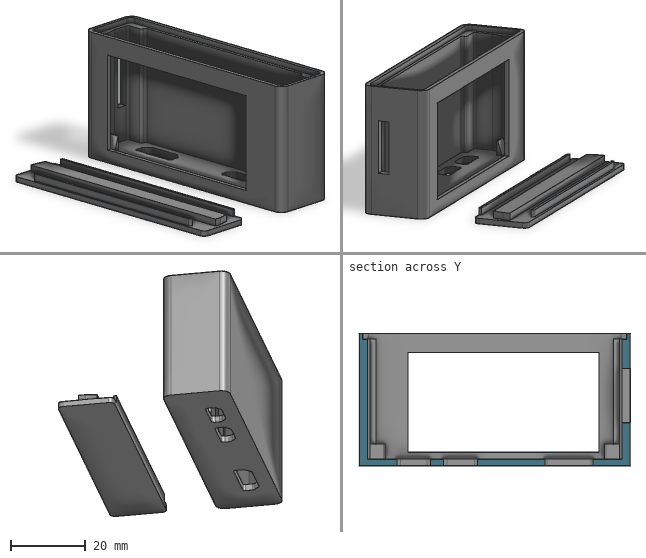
import cadquery as cq

LENGTH = 72.5
DEPTH = 18.1
HEIGHT = 35.4
CORNER_RADIUS = 2.5
OVERALL_DEPTH = 46.9

SIDE_RIM = 1.0
LONG_RIM = 1.2
RECESS_RADIUS = CORNER_RADIUS - SIDE_RIM
LID_THICKNESS = 1.5

FLOOR = 1.8
BACK_WALL = 2.2
SIDE_WALL = 2.25
BOSS_DEPTH = 1.5
BOSS_X = 29.0
BOSS_RADIUS = 0.7
CAVITY_CORNER_RADIUS = 0.8
TAPER_DEPTH = 3.0
TAPER_END = 6.15
TAPER_INSET = 0.7
NOTCH_DEPTH = 1.45
NOTCH_X = 31.75

GUIDE_REACH = 3.9
GUIDE_BACK = 6.15
GUIDE_FLAT = 0.4
GUIDE_THICKNESS = 1.75
GUIDE_HEIGHT = 4.0
GUIDE_RADIUS = 0.35

WINDOW_LEFT = -27.8
WINDOW_RIGHT = 23.1
WINDOW_BOTTOM = 3.6
WINDOW_TOP = 30.2
SLOT_BACK = 4.5
SLOT_WIDTH = 3.0
SLOT_BOTTOM = 11.5
SLOT_TOP = 25.95
PORT_BACK = 4.3
PORTS = [
    (-19.85, 12.9, 4.7, 1.75, 1.1, 0.6),
    (9.1, 9.2, 4.2, 1.6, 1.45, 0.95),
    (21.7, 9.0, 4.2, 1.6, 1.45, 0.95),
]

CLEARANCE = 0.15
LID_LENGTH = LENGTH - 2 * (SIDE_RIM + CLEARANCE)
LID_DEPTH = DEPTH - 2 * (LONG_RIM + CLEARANCE)
RAIL_HEIGHT = 1.95
TONGUE_LENGTH = 63.35
TONGUE_THICKNESS = 0.7
BLOCK_LENGTH = 67.9
BLOCK_DEPTH = 4.9
BLOCK_TAPER_INSET = 0.65
BLOCK_BACK = 4.9
RIB_LENGTH = 57.85
RIB_SHIFT = 0.35
RIB_BACK = 13.85
RIB_THICKNESS = 0.8
RIB_RADIUS = 0.7

BACK_Y = DEPTH / 2
FRONT_Y = -DEPTH / 2
LEDGE_Z = HEIGHT - LID_THICKNESS
INNER_X = LENGTH / 2 - SIDE_WALL
LID_FRONT_Y = BACK_Y - OVERALL_DEPTH
LID_BACK_Y = LID_FRONT_Y + LID_DEPTH


def box(x0, x1, y0, y1, z0, z1):
    """Box between two opposite corners."""
    return cq.Workplane("XY").box(x1 - x0, y1 - y0, z1 - z0, centered=False).translate((x0, y0, z0))


def both_ends(half_outline):
    """Points of an outline and of its mirror image across X = 0."""
    return half_outline + [(-x, y) for x, y in reversed(half_outline)]


def edges_at(solid, points, z):
    """Upright edges of a solid that pass through the given points at height z."""
    reach = 0.01
    picked = solid.newObject([])
    for x, y in points:
        corner = cq.selectors.BoxSelector((x - reach, y - reach, z - reach), (x + reach, y + reach, z + reach))
        picked = picked.add(solid.edges("|Z").edges(corner))
    return picked


def cavity():
    """Inner space from the floor up to the lid ledge."""
    back = BACK_Y - BACK_WALL
    boss_front = back - BOSS_DEPTH
    front = FRONT_Y + LONG_RIM
    notch_back = front + NOTCH_DEPTH
    taper_front = FRONT_Y + TAPER_END
    narrow_x = INNER_X - TAPER_INSET
    outline = both_ends([
        (BOSS_X, back),
        (BOSS_X, boss_front),
        (INNER_X, boss_front),
        (INNER_X, taper_front + TAPER_DEPTH),
        (narrow_x, taper_front),
        (narrow_x, notch_back),
        (NOTCH_X, notch_back),
        (NOTCH_X, front),
    ])
    depth = LEDGE_Z - FLOOR
    space = cq.Workplane("XY").workplane(offset=FLOOR).polyline(outline).close().extrude(depth)
    middle_z = FLOOR + depth / 2
    for radius, corners in (
        (BOSS_RADIUS, [(BOSS_X, back), (BOSS_X, boss_front)]),
        (CAVITY_CORNER_RADIUS, [(INNER_X, boss_front)]),
    ):
        space = edges_at(space, both_ends(corners), middle_z).fillet(radius)
    return space


def lid_recess():
    """Shallow rounded recess in the top of the housing."""
    return (
        cq.Workplane("XY")
        .workplane(offset=LEDGE_Z)
        .rect(LENGTH - 2 * SIDE_RIM, DEPTH - 2 * LONG_RIM)
        .extrude(LID_THICKNESS)
        .edges("|Z")
        .fillet(RECESS_RADIUS)
    )


def port(center_x, width, depth, back_chamfer, rounding, front_radius):
    """Connector opening through the floor, with rounded chamfers at the back corners."""
    back = BACK_Y - PORT_BACK
    opening = box(center_x - width / 2, center_x + width / 2, back - depth, back, 0, FLOOR)
    opening = opening.faces("<Y").edges("|Z").fillet(front_radius)
    half_width = width / 2
    corners = []
    for side in (-1, 1):
        corners.append((center_x + side * (half_width - back_chamfer), back))
        corners.append((center_x + side * half_width, back - back_chamfer))
    opening = opening.faces(">Y").edges("|Z").chamfer(back_chamfer)
    return edges_at(opening, corners, FLOOR / 2).fillet(rounding)


def left_guide():
    """Guide on the -X end wall: narrow on top, with a slanted front face."""
    wall_x = -INNER_X + TAPER_INSET
    back = FRONT_Y + GUIDE_BACK
    top = FLOOR + GUIDE_HEIGHT
    profile = [
        (back, FLOOR),
        (back, top),
        (back - GUIDE_FLAT, top),
        (back - GUIDE_THICKNESS, FLOOR),
    ]
    guide = cq.Workplane("YZ").polyline(profile).close().extrude(GUIDE_REACH).translate((wall_x, 0, 0))
    return guide.faces(">X").edges("|Z").fillet(GUIDE_RADIUS)


def make_housing():
    body = cq.Workplane("XY").rect(LENGTH, DEPTH).extrude(HEIGHT).edges("|Z").fillet(CORNER_RADIUS)
    body = body.cut(cavity()).cut(lid_recess())

    guide = left_guide()
    body = body.union(guide).union(guide.mirror("YZ"))

    body = body.cut(box(WINDOW_LEFT, WINDOW_RIGHT, FRONT_Y, FRONT_Y + LONG_RIM, WINDOW_BOTTOM, WINDOW_TOP))
    slot_back = BACK_Y - SLOT_BACK
    body = body.cut(box(-LENGTH / 2, -INNER_X, slot_back - SLOT_WIDTH, slot_back, SLOT_BOTTOM, SLOT_TOP))
    for sizes in PORTS:
        body = body.cut(port(*sizes))
    return body


def lid_block():
    """Wide ridge whose ends match the tapered end walls of the cavity."""
    back = LID_BACK_Y - BLOCK_BACK
    wide_x = BLOCK_LENGTH / 2
    outline = both_ends([
        (wide_x - BLOCK_TAPER_INSET, back),
        (wide_x, back - TAPER_DEPTH),
        (wide_x, back - BLOCK_DEPTH),
    ])
    return cq.Workplane("XY").workplane(offset=LID_THICKNESS).polyline(outline).close().extrude(RAIL_HEIGHT)


def make_lid():
    rail_top = LID_THICKNESS + RAIL_HEIGHT
    half = LID_LENGTH / 2
    plate = box(-half, half, LID_FRONT_Y, LID_BACK_Y, 0, LID_THICKNESS).edges("|Z").fillet(RECESS_RADIUS)

    half = TONGUE_LENGTH / 2
    tongue = box(-half, half, LID_BACK_Y - TONGUE_THICKNESS, LID_BACK_Y, LID_THICKNESS, rail_top)

    half = RIB_LENGTH / 2
    rib_back = LID_BACK_Y - RIB_BACK
    rib = box(RIB_SHIFT - half, RIB_SHIFT + half, rib_back - RIB_THICKNESS, rib_back, LID_THICKNESS, rail_top)
    rib = rib.faces("<Y").edges("|Z").fillet(RIB_RADIUS)
    return plate.union(tongue).union(lid_block()).union(rib)


housing = make_housing()
lid = make_lid()

result = cq.Compound.makeCompound([housing.val(), lid.val()])